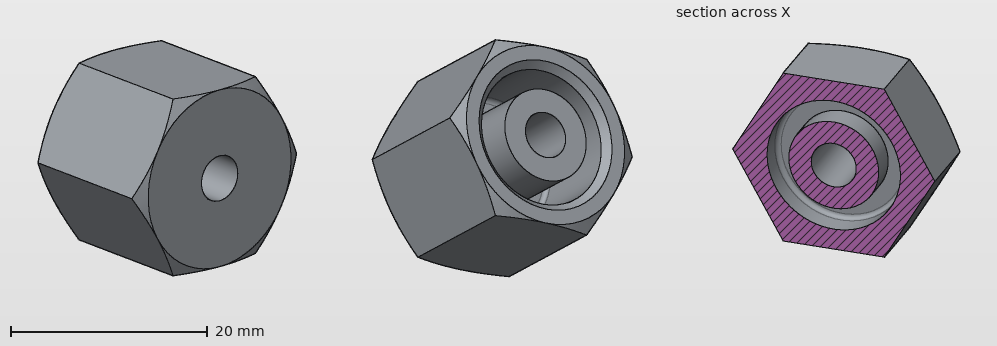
import cadquery as cq
import math

corner_width = 21.95
flat_width = corner_width * math.cos(math.radians(30))
length = 16.5
chamfer_angle = 30.0

mouth_radius = 7.99
bore_radius = 7.2
mouth_depth = 0.8
bore_depth = 10.97
floor_fillet = 0.5

post_radius = 4.9
hole_radius = 2.41


def cylinder(radius, start, end):
    """Cylinder about the X axis from x = start to x = end."""
    return cq.Workplane("YZ").workplane(offset=start).circle(radius).extrude(end - start)


def chamfered_hexagon():
    """Hexagonal bar with corners on +Y and -Y, turned down conically at both ends."""
    bar = cq.Workplane("YZ").polygon(6, corner_width).extrude(length)
    end_radius = flat_width / 2
    corner_radius = corner_width / 2
    setback = (corner_radius - end_radius) * math.tan(math.radians(chamfer_angle))
    envelope = (
        cq.Workplane("XY")
        .polyline([
            (0, 0),
            (0, end_radius),
            (setback, corner_radius),
            (length - setback, corner_radius),
            (length, end_radius),
            (length, 0),
        ])
        .close()
        .revolve(360, (0, 0, 0), (1, 0, 0))
    )
    return bar.intersect(envelope)


def cavity():
    """Bore with a conical mouth and a rounded floor edge."""
    return (
        cq.Workplane("XY")
        .lineTo(0, mouth_radius)
        .lineTo(mouth_depth, bore_radius)
        .lineTo(bore_depth - floor_fillet, bore_radius)
        .radiusArc((bore_depth, bore_radius - floor_fillet), floor_fillet)
        .lineTo(bore_depth, 0)
        .close()
        .revolve(360, (0, 0, 0), (1, 0, 0))
    )


post = cylinder(post_radius, 0, bore_depth)
hole = cylinder(hole_radius, 0, length)
result = chamfered_hexagon().cut(cavity()).union(post).cut(hole)